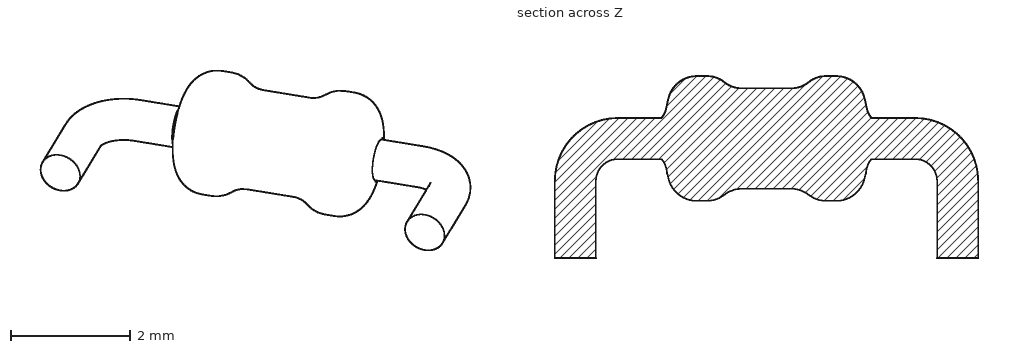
import cadquery as cq
import math

overall_length = 7.1
lead_radius = 0.35
bend_radius = 0.71
lead_drop = 2.0
lead_x = overall_length / 2 - lead_radius

bead_radius = 1.05
waist_radius = 0.845
waist_half_length = 0.42
crown_inner_x = 0.995
crown_outer_x = 1.165
shoulder_radius = 0.5
cone_outer_radius = 0.66
cone_inner_radius = 0.49
body_half_length = 1.76


def half_body():
    s_run = crown_inner_x - waist_half_length
    s_rise = bead_radius - waist_radius
    s_radius = (s_run**2 + s_rise**2) / (4 * s_rise)
    s_middle = (waist_half_length + s_run / 2, waist_radius + s_rise / 2)

    shoulder_center_r = bead_radius - shoulder_radius
    cone_tilt = math.asin((cone_outer_radius - shoulder_center_r) / shoulder_radius)
    cone_outer_x = crown_outer_x + shoulder_radius * math.cos(cone_tilt)
    cone_inner_x = cone_outer_x + (cone_outer_radius - cone_inner_radius) * math.tan(cone_tilt)
    shoulder_middle_angle = (cone_tilt + math.pi / 2) / 2
    shoulder_middle = (
        crown_outer_x + shoulder_radius * math.cos(shoulder_middle_angle),
        shoulder_center_r + shoulder_radius * math.sin(shoulder_middle_angle),
    )

    return (
        cq.Workplane("XY")
        .lineTo(0, waist_radius)
        .lineTo(waist_half_length, waist_radius)
        .radiusArc(s_middle, -s_radius)
        .radiusArc((crown_inner_x, bead_radius), s_radius)
        .lineTo(crown_outer_x, bead_radius)
        .threePointArc(shoulder_middle, (cone_outer_x, cone_outer_radius))
        .lineTo(cone_inner_x, cone_inner_radius)
        .tangentArcPoint((body_half_length, lead_radius), relative=False)
        .lineTo(body_half_length, 0)
        .close()
        .revolve(360, (0, 0, 0), (1, 0, 0))
    )


def half_lead():
    bend_start_x = lead_x - bend_radius
    bend_middle = (
        bend_start_x + bend_radius * math.sin(math.pi / 4),
        -bend_radius * (1 - math.cos(math.pi / 4)),
    )
    path = (
        cq.Workplane("XY")
        .lineTo(bend_start_x, 0)
        .threePointArc(bend_middle, (lead_x, -bend_radius))
        .lineTo(lead_x, -lead_drop)
    )
    return cq.Workplane("YZ").circle(lead_radius).sweep(path)


half_part = half_body().union(half_lead())
result = half_part.union(half_part.mirror("YZ"))